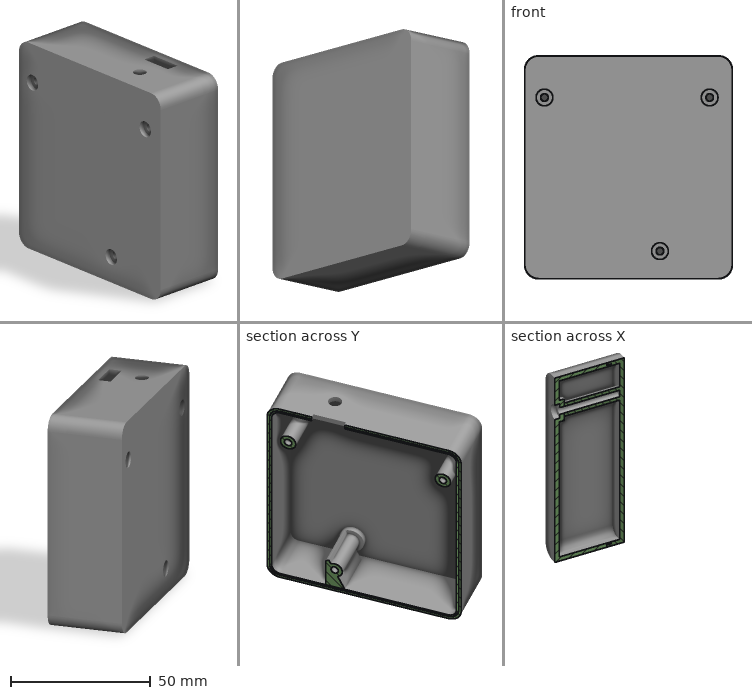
import cadquery as cq

WIDTH = 74.5
DEPTH = 28.1
HEIGHT = 79.9
CORNER_RADIUS = 5.0
WALL = 2.0
LID_DEPTH = 7.0
PARTING_Y = DEPTH - LID_DEPTH

INNER_RADIUS = CORNER_RADIUS - WALL
CAVITY_BACK_Y = DEPTH - WALL

LIP_HEIGHT = 1.9
LIP_THICKNESS = WALL / 2

SCREW_POINTS = [(-30.1, 64.95), (29.1, 64.95), (11.3, 9.9)]
COUNTERBORE_DIAMETER = 6.0
COUNTERBORE_DEPTH = 2.0
CLEARANCE_DIAMETER = 2.7
CASE_BOSS_DIAMETER = 9.5
CASE_BOSS_TOP_Y = COUNTERBORE_DEPTH + WALL
LID_POST_DIAMETER = 6.0
PILOT_DIAMETER = 2.6

SWITCH_X = 13.75
SWITCH_WIDTH = 12.4
SWITCH_DEPTH = 4.7
SWITCH_BACK_MARGIN = 3.75
SWITCH_Y = DEPTH - SWITCH_BACK_MARGIN - SWITCH_DEPTH / 2
JACK_X = 15.1
JACK_Y = 10.4
JACK_DIAMETER = 5.0
CUTTER_HEIGHT = 2 * WALL

RIB_LEFT_X = 7.35
RIB_PEAK_X = 13.5
RIB_RIGHT_X = 14.8
RIB_CROWN_RADIUS = CASE_BOSS_DIAMETER / 2


def rounded_block(inset, radius, y_start, y_end):
    """Block with rounded XZ outline, inset from the enclosure's outline."""
    return (
        cq.Workplane("XY")
        .box(WIDTH - 2 * inset, y_end - y_start, HEIGHT - 2 * inset)
        .edges("|Y")
        .fillet(radius)
        .translate((0, (y_start + y_end) / 2, HEIGHT / 2))
    )


def screw_cylinders(diameter, y_start, y_end):
    """One cylinder along Y on every screw axis."""
    return (
        cq.Workplane("XZ", origin=(0, y_start, 0))
        .pushPoints(SCREW_POINTS)
        .circle(diameter / 2)
        .extrude(y_start - y_end)
    )


def lip_block():
    """Full block inside the lip's outer face."""
    return rounded_block(LIP_THICKNESS, CORNER_RADIUS - LIP_THICKNESS, PARTING_Y, PARTING_Y + LIP_HEIGHT)


def switch_cutter():
    """Rectangular opening through the top wall, across the parting plane."""
    return (
        cq.Workplane("XY")
        .box(SWITCH_WIDTH, SWITCH_DEPTH, CUTTER_HEIGHT)
        .translate((SWITCH_X, SWITCH_Y, HEIGHT))
    )


def jack_cutter():
    """Round opening through the top wall of the case."""
    return (
        cq.Workplane("XY", origin=(JACK_X, JACK_Y, HEIGHT - WALL))
        .circle(JACK_DIAMETER / 2)
        .extrude(WALL)
    )


def rib():
    """Wedge along Y standing on the cavity floor, its crown concentric with the lower post."""
    post_x, post_z = SCREW_POINTS[-1]
    peak_z = post_z + (RIB_CROWN_RADIUS**2 - (RIB_PEAK_X - post_x) ** 2) ** 0.5
    right_z = post_z + (RIB_CROWN_RADIUS**2 - (RIB_RIGHT_X - post_x) ** 2) ** 0.5
    return (
        cq.Workplane("XZ", origin=(0, CASE_BOSS_TOP_Y, 0))
        .moveTo(RIB_LEFT_X, WALL)
        .lineTo(RIB_PEAK_X, peak_z)
        .radiusArc((RIB_RIGHT_X, right_z), RIB_CROWN_RADIUS)
        .lineTo(RIB_RIGHT_X, WALL)
        .close()
        .extrude(CASE_BOSS_TOP_Y - CAVITY_BACK_Y)
    )


def make_case():
    """Front tray with lip, screw bosses and top openings."""
    case = rounded_block(0, CORNER_RADIUS, 0, PARTING_Y).union(lip_block())
    case = case.cut(rounded_block(WALL, INNER_RADIUS, WALL, PARTING_Y + LIP_HEIGHT))
    case = case.union(screw_cylinders(CASE_BOSS_DIAMETER, 0, CASE_BOSS_TOP_Y))
    case = case.cut(screw_cylinders(CLEARANCE_DIAMETER, 0, CASE_BOSS_TOP_Y))
    case = case.cut(screw_cylinders(COUNTERBORE_DIAMETER, 0, COUNTERBORE_DEPTH))
    return case.cut(switch_cutter()).cut(jack_cutter())


def make_lid():
    """Back cover with lip recess, screw posts and the bracing rib."""
    lid = rounded_block(0, CORNER_RADIUS, PARTING_Y, DEPTH)
    lid = lid.cut(rounded_block(WALL, INNER_RADIUS, PARTING_Y, CAVITY_BACK_Y))
    lid = lid.cut(lip_block()).cut(switch_cutter())
    lid = lid.union(screw_cylinders(LID_POST_DIAMETER, CASE_BOSS_TOP_Y, CAVITY_BACK_Y))
    lid = lid.union(rib())
    return lid.cut(screw_cylinders(PILOT_DIAMETER, CASE_BOSS_TOP_Y, CAVITY_BACK_Y))


case = make_case()
lid = make_lid()
result = cq.Compound.makeCompound([case.val(), lid.val()])